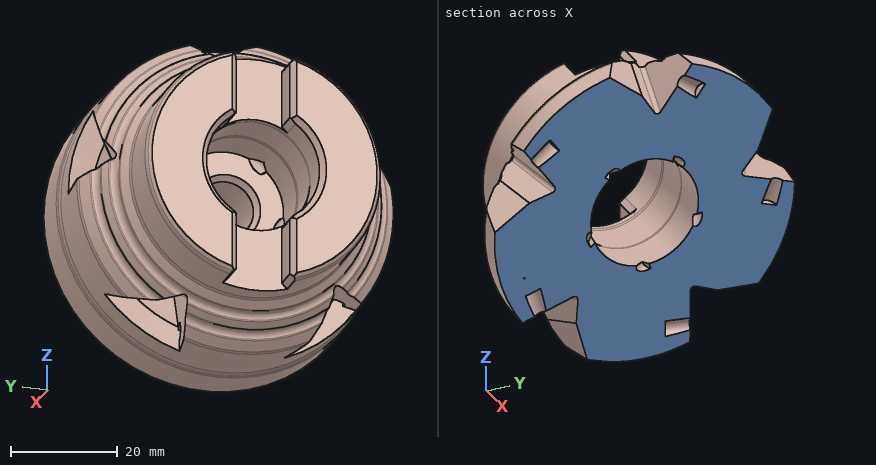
import cadquery as cq
import math

LENGTH = 40.0
RIM_R = 31.5
BODY_R = 30.95
HUB_R = 23.0
HUB_CHAMFER = 1.0
HUB_BLEND_R = 1.25
CONE_START_X = 10.65
GROOVE_STARTS = [(12.55, 24.75), (15.55, 27.45)]
GROOVE_R = 1.5
HALF_SQRT_2 = math.sqrt(0.5)
CONE_END_X = 19.3
RIM_STEP_X = 31.2
EDGE_R = 0.5
BLEND_R = 1.0
GROOVE_EDGE_R = 0.4
EDGE_MATCH_TOLERANCE = 0.005

HOLE_R = 5.5
BORE_R = 11.0
BORE_DEPTH = 24.9
BORE_CHAMFER = 1.1
RELIEF_R = 11.15
RELIEF_START_X = 7.45
RELIEF_END_X = 16.3
RELIEF_TAPER = 0.5

SLOT_HALF_WIDTH = 5.2
SLOT_DEPTH = 6.35
SLOT_CHAMFER = 1.1

POCKET_COUNT = 5
POCKET_BACK_X = 25.0
POCKET_SWEEP = cq.Vector(-1, 0.14, 0.45)
SWEEP_LENGTH_X = 15.75
BACK_WALL_SLOPE = 0.3
INNER_WALL_SLOPE = 0.7
INNER_WALL_R = 25.8
SEAT_OUTER = (11.7, 31.75)
SEAT_ROOT = (3.1, 20.1)
FLANK_ROOT = (1.95, 20.1)
FLANK_BEND = (-0.7, 24.3)
FLANK_OUTER = (-10.8, 32.4)
ROOT_SAG = 0.25
OUTLINE_TOP_Z = 47.25

SCREW_HOLE_R = 1.6
SCREW_HOLE_DEPTH = 5.05
SCREW_HOLE_CENTER = cq.Vector(POCKET_BACK_X, 7.55, 26.15)

COOLANT_R = 1.4
COOLANT_INNER = cq.Vector(23.95, -6.9, 8.25)
COOLANT_OUTER = cq.Vector(32.45, 0.6, 18.65)


def revolve_profile(profile):
    return profile.close().revolve(360, (0, 0, 0), (1, 0, 0))


def round_circle(body, x, radius, fillet):
    """Fillet the circular edge found at the given X and radius."""
    def is_wanted(edge):
        if edge.geomType() != "CIRCLE":
            return False
        x_error = abs(edge.Center().x - x)
        radius_error = abs(edge.radius() - radius)
        return max(x_error, radius_error) < EDGE_MATCH_TOLERANCE

    edges = [edge for edge in body.edges().vals() if is_wanted(edge)]
    return body.newObject(edges).fillet(fillet)


def make_body():
    rim_step_start = RIM_STEP_X - (RIM_R - BODY_R)
    profile = (
        cq.Workplane("XY")
        .lineTo(0, HUB_R - HUB_CHAMFER)
        .lineTo(HUB_CHAMFER, HUB_R)
        .lineTo(CONE_START_X, HUB_R)
    )
    rounds = [
        (HUB_CHAMFER, HUB_R, HUB_BLEND_R),
        (CONE_START_X, HUB_R, BLEND_R),
        (CONE_END_X, BODY_R, BLEND_R),
        (rim_step_start, BODY_R, BLEND_R),
        (RIM_STEP_X, RIM_R, EDGE_R),
        (LENGTH, RIM_R, EDGE_R),
    ]
    for x, radius in GROOVE_STARTS:
        end = (x + GROOVE_R, radius + GROOVE_R)
        middle = (x + GROOVE_R * HALF_SQRT_2, radius + GROOVE_R * (1 - HALF_SQRT_2))
        profile = profile.lineTo(x, radius).threePointArc(middle, end)
        rounds.append((x, radius, GROOVE_EDGE_R))
        rounds.append((*end, GROOVE_EDGE_R))
    profile = (
        profile.lineTo(CONE_END_X, BODY_R)
        .lineTo(rim_step_start, BODY_R)
        .lineTo(RIM_STEP_X, RIM_R)
        .lineTo(LENGTH, RIM_R)
        .lineTo(LENGTH, 0)
    )
    body = revolve_profile(profile)
    for x, radius, fillet in rounds:
        body = round_circle(body, x, radius, fillet)
    return body


def make_bore():
    return revolve_profile(
        cq.Workplane("XY")
        .lineTo(0, BORE_R + BORE_CHAMFER)
        .lineTo(BORE_CHAMFER, BORE_R)
        .lineTo(RELIEF_START_X, BORE_R)
        .lineTo(RELIEF_START_X + RELIEF_TAPER, RELIEF_R)
        .lineTo(RELIEF_END_X - RELIEF_TAPER, RELIEF_R)
        .lineTo(RELIEF_END_X, BORE_R)
        .lineTo(BORE_DEPTH, BORE_R)
        .lineTo(BORE_DEPTH, HOLE_R + BORE_CHAMFER)
        .lineTo(BORE_DEPTH + BORE_CHAMFER, HOLE_R)
        .lineTo(LENGTH, HOLE_R)
        .lineTo(LENGTH, 0)
    )


def make_slot():
    """Slot with bevels where its walls meet the bore, the hub cylinder and the hub face."""
    beveled_half_width = SLOT_HALF_WIDTH + SLOT_CHAMFER
    bore_corner_z = math.sqrt(BORE_R**2 - beveled_half_width**2)
    hub_corner_z = math.sqrt(HUB_R**2 - beveled_half_width**2)
    flare = RIM_R - hub_corner_z
    half_outline = [
        (beveled_half_width, bore_corner_z),
        (SLOT_HALF_WIDTH, bore_corner_z + SLOT_CHAMFER),
        (SLOT_HALF_WIDTH, hub_corner_z - SLOT_CHAMFER),
        (beveled_half_width + flare, hub_corner_z + flare),
    ]
    outline = half_outline + [(-y, z) for y, z in reversed(half_outline)]
    arm = cq.Workplane("YZ").polyline(outline).close().extrude(SLOT_DEPTH)
    face_bevel = (
        cq.Workplane("XY", origin=(0, 0, -RIM_R))
        .moveTo(0, beveled_half_width)
        .lineTo(SLOT_CHAMFER, SLOT_HALF_WIDTH)
        .lineTo(SLOT_CHAMFER, -SLOT_HALF_WIDTH)
        .lineTo(0, -beveled_half_width)
        .close()
        .extrude(2 * RIM_R)
    )
    return face_bevel.union(arm).union(arm.mirror("XY"))


def make_pocket_limit():
    """Space on the hub side of the conical back walls of the pockets."""
    turn_x = POCKET_BACK_X + BACK_WALL_SLOPE * (BODY_R - INNER_WALL_R)
    limit_r = OUTLINE_TOP_Z
    limit_x = POCKET_BACK_X + BACK_WALL_SLOPE * (BODY_R - limit_r)
    return revolve_profile(
        cq.Workplane("XY")
        .lineTo(0, limit_r)
        .lineTo(limit_x, limit_r)
        .lineTo(turn_x, INNER_WALL_R)
        .lineTo(turn_x + INNER_WALL_SLOPE * INNER_WALL_R, 0)
    ).val()


def make_screw_hole():
    seat_line = cq.Vector(0, SEAT_OUTER[0] - SEAT_ROOT[0], SEAT_OUTER[1] - SEAT_ROOT[1])
    into_seat = POCKET_SWEEP.cross(seat_line)
    return cq.Solid.makeCylinder(SCREW_HOLE_R, SCREW_HOLE_DEPTH, SCREW_HOLE_CENTER, into_seat)


def make_pocket():
    """Pocket with its screw hole, both ending at the conical back wall."""
    root_middle = ((SEAT_ROOT[0] + FLANK_ROOT[0]) / 2, SEAT_ROOT[1] - ROOT_SAG)
    outline = (
        cq.Workplane("YZ", origin=(POCKET_BACK_X, 0, 0))
        .moveTo(*SEAT_OUTER)
        .lineTo(*SEAT_ROOT)
        .threePointArc(root_middle, FLANK_ROOT)
        .lineTo(*FLANK_BEND)
        .lineTo(*FLANK_OUTER)
        .lineTo(FLANK_OUTER[0], OUTLINE_TOP_Z)
        .lineTo(SEAT_OUTER[0], OUTLINE_TOP_Z)
        .close()
    )
    start = POCKET_SWEEP * -SWEEP_LENGTH_X
    sweep = POCKET_SWEEP * (2 * SWEEP_LENGTH_X)
    corner = cq.Solid.extrudeLinear(outline.val().translate(start), [], sweep)
    return corner.fuse(make_screw_hole()).intersect(make_pocket_limit())


def make_coolant_hole():
    axis = COOLANT_OUTER - COOLANT_INNER
    return cq.Solid.makeCylinder(COOLANT_R, axis.Length, COOLANT_INNER, axis)


result = make_body().cut(make_bore()).cut(make_slot())
axis_start = cq.Vector(0, 0, 0)
axis_end = cq.Vector(1, 0, 0)
cutters = (make_pocket(), make_coolant_hole())
for index in range(POCKET_COUNT):
    turn = index * 360 / POCKET_COUNT
    for cutter in cutters:
        result = result.cut(cq.Workplane(cutter.rotate(axis_start, axis_end, turn)))
result = result.newObject(result.solids().vals())